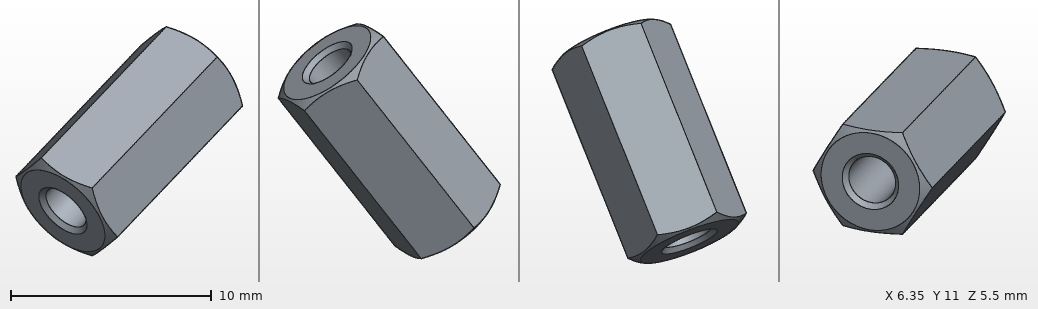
import cadquery as cq
import math

length = 11.0
across_flats = 5.5
across_corners = across_flats / math.cos(math.radians(30))

bore_diameter = 2.5
countersink_diameter = 3.0
countersink_depth = (countersink_diameter - bore_diameter) / 2

end_face_diameter = 5.25
corner_chamfer_angle = 30.0
corner_chamfer_width = (across_corners - end_face_diameter) / 2
corner_chamfer_depth = corner_chamfer_width * math.tan(math.radians(corner_chamfer_angle))


def revolve_about_y(profile):
    """Revolve a closed (radius, y) profile about the Y axis."""
    return cq.Workplane("XY").polyline(profile).close().revolve(360, (0, 0, 0), (0, 1, 0))


def hexagonal_bar():
    """Full-length hexagon with flats at +Z and -Z and corners at +X and -X."""
    return cq.Workplane("XZ").polygon(6, across_corners).extrude(length / 2, both=True)


def chamfer_envelope():
    """Round bar through the hexagon corners, with a cone at each end."""
    end = length / 2
    shoulder = end - corner_chamfer_depth
    end_radius = end_face_diameter / 2
    corner_radius = across_corners / 2
    return revolve_about_y([
        (0, -end),
        (end_radius, -end),
        (corner_radius, -shoulder),
        (corner_radius, shoulder),
        (end_radius, end),
        (0, end),
    ])


def countersunk_bore():
    """Through bore that flares out to the countersink diameter at each end."""
    end = length / 2
    flare_start = end - countersink_depth
    bore_radius = bore_diameter / 2
    countersink_radius = countersink_diameter / 2
    return revolve_about_y([
        (0, -end),
        (countersink_radius, -end),
        (bore_radius, -flare_start),
        (bore_radius, flare_start),
        (countersink_radius, end),
        (0, end),
    ])


result = hexagonal_bar().intersect(chamfer_envelope()).cut(countersunk_bore())